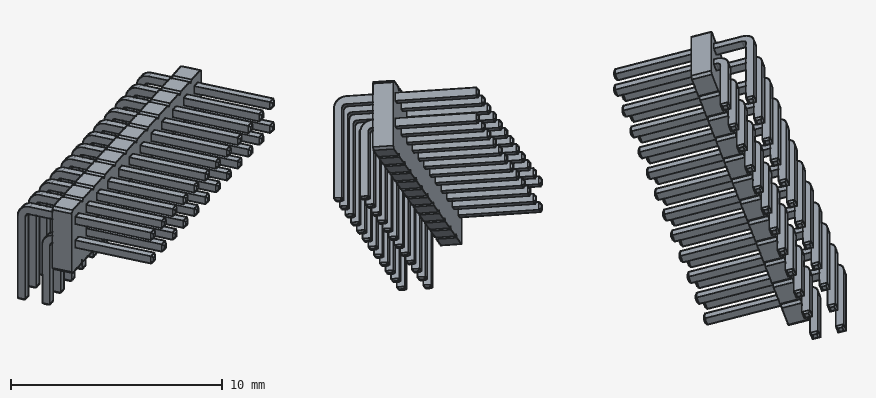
import cadquery as cq


body_length = 15.24
columns = 12
pitch = body_length / columns
body_depth = 0.99
body_height = 3.4
notch = 0.13

pin_width = 0.4
tip_chamfer = 0.09
contact_length = 4.0
outer_tail_reach = 1.98
overall_height = 5.62
row_middle_drop = 1.34
upper_pin_drop = row_middle_drop - pitch / 2 - pin_width / 2
bend_outer_radius = 0.6
bend_inner_radius = bend_outer_radius - pin_width


def make_body():
    """Bar with V grooves across top and bottom between columns, and chamfered ends."""
    half_length = body_length / 2
    bar = cq.Workplane("XY").box(body_depth, body_length, body_height, centered=(False, True, False))
    bar = bar.translate((0, 0, -body_height))
    for boundary in range(columns + 1):
        y = boundary * pitch - half_length
        for z in (0, -body_height):
            cutter = (
                cq.Workplane("YZ")
                .moveTo(y - notch, z)
                .lineTo(y, z + notch)
                .lineTo(y + notch, z)
                .lineTo(y, z - notch)
                .close()
                .extrude(body_depth)
            )
            bar = bar.cut(cutter)
    return bar


def make_pin(top, tail_back):
    """Bent square pin centred on Y = 0, with its top face and tail back face given."""
    contact_end = body_depth + contact_length
    tail_end = -overall_height
    bend_x = tail_back + bend_outer_radius
    bend_z = top - bend_outer_radius
    pin = (
        cq.Workplane("XZ")
        .moveTo(contact_end, top)
        .lineTo(bend_x, top)
        .radiusArc((tail_back, bend_z), -bend_outer_radius)
        .lineTo(tail_back, tail_end)
        .lineTo(tail_back + pin_width, tail_end)
        .lineTo(tail_back + pin_width, bend_z)
        .radiusArc((bend_x, top - pin_width), bend_inner_radius)
        .lineTo(contact_end, top - pin_width)
        .close()
        .extrude(pin_width / 2, both=True)
    )
    return pin.faces(">X").chamfer(tip_chamfer).faces("<Z").chamfer(tip_chamfer)


upper_pin = make_pin(-upper_pin_drop, -outer_tail_reach)
lower_pin = make_pin(-upper_pin_drop - pitch, -outer_tail_reach + pitch)

result = make_body()
for column in range(columns):
    y = (column + 0.5) * pitch - body_length / 2
    for pin in (upper_pin, lower_pin):
        result = result.union(pin.translate((0, y, 0)))